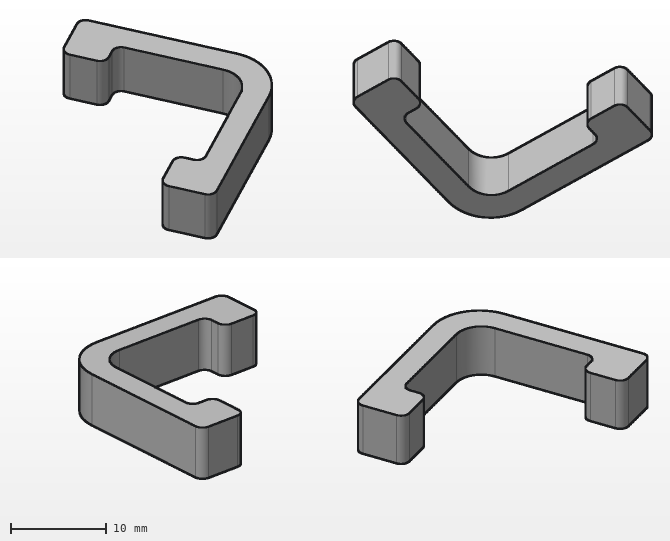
import cadquery as cq

side = 23.0
height = 6.0
wall = 3.0
hook_depth = 6.0
hook_length = 5.0
edge_radius = 1.0
inner_radius = 3.0
outer_radius = 5.5

outer = side / 2
inner = outer - wall
hook_tip = outer - hook_depth
hook_end = -outer + hook_length

bracket = (
    cq.Workplane("XY")
    .polyline([
        (-outer, outer),
        (outer, outer),
        (outer, -outer),
        (hook_tip, -outer),
        (hook_tip, hook_end),
        (inner, hook_end),
        (inner, inner),
        (hook_end, inner),
        (hook_end, hook_tip),
        (-outer, hook_tip),
    ])
    .close()
    .extrude(height)
)


def round_upright_edges(body, corners, radius):
    """Fillet the vertical edges standing at the given XY corners."""
    mid_height = height / 2
    edges = body.newObject([])
    for x, y in corners:
        nearest = cq.selectors.NearestToPointSelector((x, y, mid_height))
        edges = edges.add(body.edges("|Z").edges(nearest))
    return edges.fillet(radius)


bracket = round_upright_edges(bracket, [(outer, outer)], outer_radius)
bracket = round_upright_edges(bracket, [(inner, inner)], inner_radius)

hook_corners = [
    (-outer, outer),
    (-outer, hook_tip),
    (hook_end, hook_tip),
    (hook_end, inner),
]
mirrored_corners = [(y, x) for x, y in hook_corners]
result = round_upright_edges(bracket, hook_corners + mirrored_corners, edge_radius)